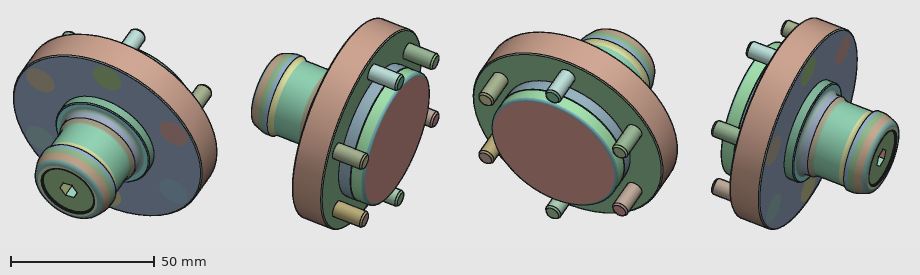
import cadquery as cq
import math


FLANGE_RADIUS = 37.4
FLANGE_THICKNESS = 11.8
FLANGE_CHAMFER = 0.41

COLLAR_RADIUS = 18.55
COLLAR_LENGTH = 3.6
COLLAR_CHAMFER = 0.4
NOSE_LENGTH = 29.25
BEAD_RADIUS = 14.95
ROOT_FILLET = 1.5
ROOT_BEAD_LENGTH = 2.25
WAIST_RADIUS = 14.0
WAIST_FRONT = 19.3
WAIST_CONE_ANGLE = math.radians(30)
WAIST_FILLET = 1.5
WAIST_FLARE_LENGTH = 2.25
TIP_BEAD_LENGTH = 1.6
TIP_CONE_ANGLE = math.radians(20)
TIP_SHOULDER_RADIUS = 6.6
TIP_EDGE_RADIUS = 2.0

RECESS_RADIUS = 10.3
RECESS_CHAMFER = 0.2
RECESS_DEPTH = 0.4
PLUG_RADIUS = 10.0
PLUG_DEPTH = 0.6
HEX_ACROSS_FLATS = 6.0
HEX_DEPTH = 6.0
HEX_TURN = 8.6

PILOT_RADIUS = 24.9
PILOT_LENGTH = 10.1
PILOT_STEP = 0.1
PILOT_STEP_LENGTH = 0.2
PILOT_REAR_LENGTH = 5.2
PILOT_FILLET = 1.0
PILOT_TAPER_LENGTH = 0.9
PILOT_TAPER_DEPTH = 0.15
PILOT_LAND = 0.2

SCREW_COUNT = 6
SCREW_CIRCLE_RADIUS = 30.45
SCREW_HEAD_RADIUS = 5.6
SCREW_HEAD_HEIGHT = 6.0
SCREW_RADIUS = 3.0
SCREW_PROJECTION = 11.45
SCREW_TIP_LENGTH = 0.75
SCREW_TIP_DEPTH = 0.5


def cylinder_along_y(radius, start, length):
    """Cylinder on the Y axis from Y = start toward +Y."""
    return cq.Workplane("XZ", origin=(0, start, 0)).circle(radius).extrude(-length)


def revolve_about_y(profile):
    """Turn a closed (radius, Y) outline about the Y axis."""
    return profile.close().revolve(360, (0, 0, 0), (0, 1, 0))


def make_flange():
    return cylinder_along_y(FLANGE_RADIUS, 0, FLANGE_THICKNESS).edges().chamfer(FLANGE_CHAMFER)


def make_nose():
    """Collar, waisted spigot and rounded tip."""
    root = -COLLAR_LENGTH
    tip = -NOSE_LENGTH
    diagonal = math.sqrt(0.5)

    bead_end = root - ROOT_BEAD_LENGTH - ROOT_FILLET
    cone_end_radius = WAIST_RADIUS + WAIST_FILLET * (1 - math.cos(WAIST_CONE_ANGLE))
    cone_end = bead_end - (BEAD_RADIUS - cone_end_radius) / math.tan(WAIST_CONE_ANGLE)
    waist_start = cone_end - WAIST_FILLET * math.sin(WAIST_CONE_ANGLE)

    flare_end = -WAIST_FRONT - WAIST_FLARE_LENGTH
    shoulder_start = flare_end - TIP_BEAD_LENGTH
    shoulder_end = shoulder_start - TIP_SHOULDER_RADIUS * math.sin(TIP_CONE_ANGLE)
    shoulder_end_radius = BEAD_RADIUS - TIP_SHOULDER_RADIUS * (1 - math.cos(TIP_CONE_ANGLE))
    edge_start = tip + TIP_EDGE_RADIUS * (1 - math.sin(TIP_CONE_ANGLE))
    edge_start_radius = shoulder_end_radius - (shoulder_end - edge_start) * math.tan(TIP_CONE_ANGLE)
    face_radius = edge_start_radius - TIP_EDGE_RADIUS * math.cos(TIP_CONE_ANGLE)

    profile = (
        cq.Workplane("XY")
        .lineTo(COLLAR_RADIUS, 0)
        .lineTo(COLLAR_RADIUS, root + COLLAR_CHAMFER)
        .lineTo(COLLAR_RADIUS - COLLAR_CHAMFER, root)
        .lineTo(BEAD_RADIUS + ROOT_FILLET, root)
        .threePointArc(
            (BEAD_RADIUS + ROOT_FILLET * (1 - diagonal), root - ROOT_FILLET * (1 - diagonal)),
            (BEAD_RADIUS, root - ROOT_FILLET),
        )
        .lineTo(BEAD_RADIUS, bead_end)
        .lineTo(cone_end_radius, cone_end)
        .tangentArcPoint((WAIST_RADIUS, waist_start), relative=False)
        .lineTo(WAIST_RADIUS, -WAIST_FRONT)
        .tangentArcPoint((BEAD_RADIUS, flare_end), relative=False)
        .lineTo(BEAD_RADIUS, shoulder_start)
        .tangentArcPoint((shoulder_end_radius, shoulder_end), relative=False)
        .lineTo(edge_start_radius, edge_start)
        .tangentArcPoint((face_radius, tip), relative=False)
        .lineTo(0, tip)
    )
    return revolve_about_y(profile)


def make_nose_socket():
    """Shallow chamfered two-step plug recess with a hex socket in its floor."""
    tip = -NOSE_LENGTH
    ledge = tip + RECESS_DEPTH
    floor = tip + PLUG_DEPTH
    recess = revolve_about_y(
        cq.Workplane("XY")
        .moveTo(0, tip)
        .lineTo(RECESS_RADIUS + RECESS_CHAMFER, tip)
        .lineTo(RECESS_RADIUS, tip + RECESS_CHAMFER)
        .lineTo(RECESS_RADIUS, ledge)
        .lineTo(PLUG_RADIUS, ledge)
        .lineTo(PLUG_RADIUS, floor)
        .lineTo(0, floor)
    )
    across_corners = HEX_ACROSS_FLATS / math.cos(math.pi / 6)
    hexagon = (
        cq.Workplane("XZ", origin=(0, floor, 0))
        .polygon(6, across_corners)
        .extrude(-HEX_DEPTH)
        .rotate((0, 0, 0), (0, 1, 0), -HEX_TURN)
    )
    return recess.union(hexagon)


def make_pilot():
    """Rear pilot: land and slight taper at the flange, small tapered step, rounded rear edge."""
    start = FLANGE_THICKNESS
    rear = start + PILOT_LENGTH
    rear_radius = PILOT_RADIUS - PILOT_STEP
    neck_radius = PILOT_RADIUS - PILOT_TAPER_DEPTH
    taper_start = start + PILOT_LAND
    step = rear - PILOT_REAR_LENGTH
    profile = (
        cq.Workplane("XY")
        .moveTo(0, start)
        .lineTo(neck_radius, start)
        .lineTo(neck_radius, taper_start)
        .lineTo(PILOT_RADIUS, taper_start + PILOT_TAPER_LENGTH)
        .lineTo(PILOT_RADIUS, step - PILOT_STEP_LENGTH)
        .lineTo(rear_radius, step)
        .lineTo(rear_radius, rear)
        .lineTo(0, rear)
    )
    return revolve_about_y(profile).faces(">Y").edges().fillet(PILOT_FILLET)


def make_screw():
    """Screw on the Y axis: head flush with the flange front, tapered tip behind the flange."""
    end = FLANGE_THICKNESS + SCREW_PROJECTION
    profile = (
        cq.Workplane("XY")
        .lineTo(SCREW_HEAD_RADIUS, 0)
        .lineTo(SCREW_HEAD_RADIUS, SCREW_HEAD_HEIGHT)
        .lineTo(SCREW_RADIUS, SCREW_HEAD_HEIGHT)
        .lineTo(SCREW_RADIUS, end - SCREW_TIP_LENGTH)
        .lineTo(SCREW_RADIUS - SCREW_TIP_DEPTH, end)
        .lineTo(0, end)
    )
    return revolve_about_y(profile)


result = make_flange().union(make_nose()).union(make_pilot()).cut(make_nose_socket())

for index in range(SCREW_COUNT):
    angle = math.pi / 2 + 2 * math.pi * index / SCREW_COUNT
    x = SCREW_CIRCLE_RADIUS * math.cos(angle)
    z = SCREW_CIRCLE_RADIUS * math.sin(angle)
    result = result.union(make_screw().translate((x, 0, z)), clean=False)